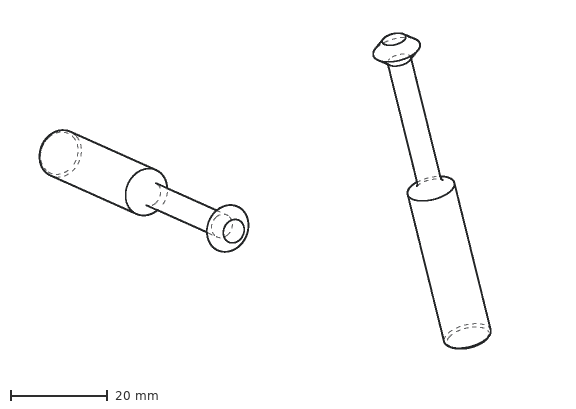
import cadquery as cq

total_length = 72.0
body_length = 36.0
body_radius = 10.0 / 2
end_chamfer = 0.5
neck_radius = body_radius / 2
root_fillet = 2.0

head_radius = body_radius
flank_width = head_radius - neck_radius
rim_x = total_length - flank_width
head_start = rim_x - flank_width

profile = (
    cq.Workplane("XY")
    .moveTo(0, 0)
    .lineTo(0, body_radius - end_chamfer)
    .lineTo(end_chamfer, body_radius)
    .lineTo(body_length, body_radius)
    .lineTo(body_length, neck_radius + root_fillet)
    .radiusArc((body_length + root_fillet, neck_radius), -root_fillet)
    .lineTo(head_start, neck_radius)
    .lineTo(rim_x, head_radius)
    .lineTo(total_length, neck_radius)
    .lineTo(total_length, 0)
    .close()
)

result = profile.revolve(360, (0, 0, 0), (1, 0, 0))